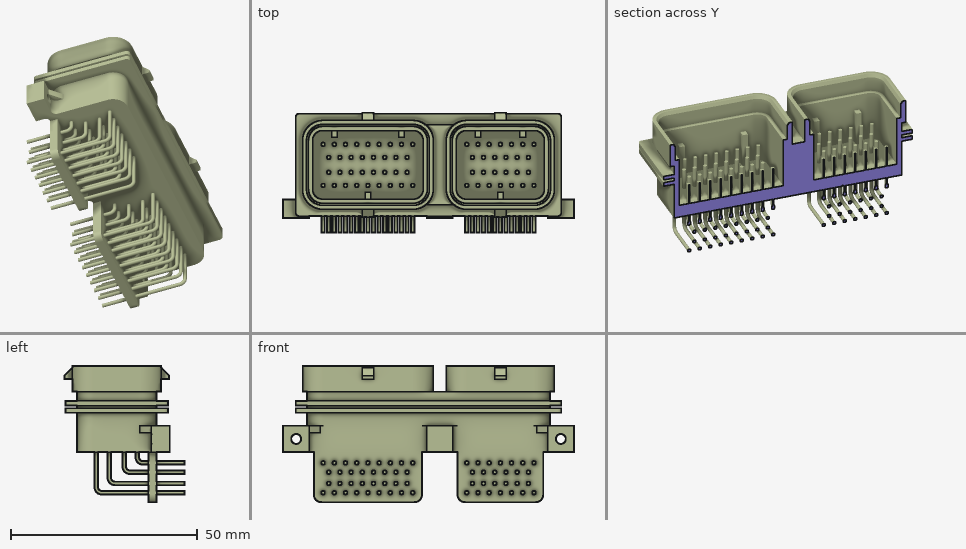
import cadquery as cq

body_length = 65.1
body_width = 21.4
body_corner = 4.2
body_top = 16.2
overall_top = 23.05

shroud_overhang = 1.2
shroud_gap = 3.45
large_shroud_length = 35.05
rim_thickness = 1.05
mouth_chamfer_inset = 0.55
mouth_chamfer_depth = 0.9
wall_thickness = 2.7
ledge_height = 18.0
floor_height = 3.8

flange_length = 71.2
flange_width = 27.5
flange_corner = 1.0
flange_thickness = 1.25
flange_bottoms = (10.5, 12.45)

latch_length = 3.1
latch_reach = 2.1
latch_bottom = 19.5
latch_lip_top = 20.5

key_length = 1.5
key_depth = 1.85
key_top = 13.4

pin_diameter = 1.0
pin_pitch = 3.0
rear_pin_top = 10.55
front_pin_top = 9.6
pin_bend_radius = 1.5
pin_tip_y = -18.15
PIN_ROWS = (
    (5.5, rear_pin_top, -10.9, 0),
    (2.0, front_pin_top, -8.4, 1),
    (-2.0, front_pin_top, -5.4, 1),
    (-5.5, front_pin_top, -2.9, 0),
)

plate_bottom = -13.45
plate_thickness = 2.2
plate_root_depth = 2.0
plate_corner = 2.0

overall_length = 78.0
ear_length = 7.0
ear_height = 7.05
ear_front = -14.25
ear_back = -9.25
ear_hole_diameter = 2.6
ear_hole_x = 35.45
ear_hole_z = 3.5
ear_inner_fillet = 1.15
ear_back_fillet = 1.6
gusset_leg = 3.05
gusset_height = 1.9
lug_length = 7.0
lug_fillet = 1.0

body_front = -body_width / 2
shroud_width = body_width + 2 * shroud_overhang
shroud_corner = body_corner + shroud_overhang
shrouds_span = body_length + 2 * shroud_overhang
small_shroud_length = shrouds_span - shroud_gap - large_shroud_length
large_center = (large_shroud_length - shrouds_span) / 2
small_center = (shrouds_span - small_shroud_length) / 2
wall_below_chamfer = rim_thickness + mouth_chamfer_inset

SOCKETS = (
    (large_center, large_shroud_length, 9, 9.0, 29.0),
    (small_center, small_shroud_length, 7, 6.0, 23.0),
)


def box(x0, x1, y0, y1, z0, z1):
    """Box between two opposite corners."""
    return cq.Workplane("XY").box(x1 - x0, y1 - y0, z1 - z0, centered=False).translate((x0, y0, z0))


def rounded_block(center_x, length, width, corner, z0, z1):
    """Upright block with rounded vertical edges, centered on Y = 0."""
    return box(
        center_x - length / 2, center_x + length / 2, -width / 2, width / 2, z0, z1
    ).edges("|Z").fillet(corner)


def shroud_inset(center_x, length, inset, z0, z1):
    """Block following the shroud outline, moved inward by an inset."""
    return rounded_block(
        center_x, length - 2 * inset, shroud_width - 2 * inset, shroud_corner - inset, z0, z1
    )


def socket_cavity(center_x, length):
    """Stepped cavity with a steep chamfer at the mouth."""
    cavity = shroud_inset(center_x, length, wall_thickness, floor_height, overall_top)
    upper = shroud_inset(center_x, length, wall_below_chamfer, ledge_height, overall_top)
    mouth_bottom = overall_top - mouth_chamfer_depth
    mouth_top = overall_top + mouth_chamfer_depth
    mouth = shroud_inset(center_x, length, rim_thickness, mouth_bottom, mouth_top)
    mouth = mouth.faces("<Z").chamfer(mouth_chamfer_depth, mouth_chamfer_inset)
    return cavity.union(upper).union(mouth)


def latch(center_x):
    """Wedge-shaped nose on the -Y side of a shroud, sloped at 45 degrees."""
    root = -shroud_width / 2
    tip = root - latch_reach
    slope_top = latch_lip_top + latch_reach
    return (
        cq.Workplane("YZ", origin=(center_x - latch_length / 2, 0, 0))
        .polyline([(root, latch_bottom), (tip, latch_bottom), (tip, latch_lip_top), (root, slope_top)])
        .close()
        .extrude(latch_length)
    )


def key_rib(center_x, side):
    """Keying rib against the +Y (side = 1) or -Y (side = -1) cavity wall."""
    wall_y = shroud_width / 2 - wall_thickness
    rib = box(
        center_x - key_length / 2, center_x + key_length / 2, wall_y - key_depth, wall_y,
        floor_height, key_top,
    )
    return rib if side > 0 else rib.mirror("XZ")


def bent_pin(x, y, top, z):
    """Right-angle pin: upright in the socket, then forward through the guide plate."""
    path = (
        cq.Workplane("YZ", origin=(x, 0, 0))
        .moveTo(y, top)
        .lineTo(y, z + pin_bend_radius)
        .radiusArc((y - pin_bend_radius, z), pin_bend_radius)
        .lineTo(pin_tip_y, z)
    )
    profile = cq.Workplane("XY", origin=(x, y, top)).circle(pin_diameter / 2)
    return profile.sweep(path)


def socket_pins(center_x, full_row):
    """All contacts of one socket, with the inner rows staggered by half a pitch."""
    pins = []
    for y, top, z, missing in PIN_ROWS:
        count = full_row - missing
        for i in range(count):
            x = center_x + (i - (count - 1) / 2) * pin_pitch
            pins.append(bent_pin(x, y, top, z).val())
    return pins


def guide_plate(center_x, length):
    """Plate flush with the body front, with its two lower corners rounded."""
    plate = box(
        center_x - length / 2, center_x + length / 2,
        body_front, body_front + plate_thickness, plate_bottom, plate_root_depth,
    )
    return plate.faces("<Z").edges("|Y").fillet(plate_corner)


def concave_fillet(corner_x, corner_y, x_side, y_side, radius):
    """Filler for an inside corner, rounded by an arc of the given radius, up to ear height."""
    far_x = corner_x + x_side * radius
    far_y = corner_y + y_side * radius
    square = box(
        min(corner_x, far_x), max(corner_x, far_x), min(corner_y, far_y), max(corner_y, far_y),
        0, ear_height,
    )
    return square.cut(cq.Workplane("XY").center(far_x, far_y).circle(radius).extrude(ear_height))


def gusset(corner_x, corner_y, x_side, y_side):
    """Triangular gusset in an inside corner, level with the ear top."""
    return (
        cq.Workplane("XY", origin=(corner_x, corner_y, ear_height - gusset_height))
        .polyline([(0, 0), (x_side * gusset_leg, 0), (0, y_side * gusset_leg)])
        .close()
        .extrude(gusset_height)
    )


def left_ear():
    """Mounting ear at the -X end with its squared body corner, fillets and gussets."""
    outer_x = -overall_length / 2
    inner_x = outer_x + ear_length
    body_end = -body_length / 2
    ear = box(outer_x, inner_x, ear_front, ear_back, 0, ear_height)
    ear = ear.union(
        box(body_end, body_end + body_corner, body_front, body_front + body_corner, 0, ear_height)
    )
    ear = ear.union(concave_fillet(inner_x, body_front, 1, -1, ear_inner_fillet))
    ear = ear.union(concave_fillet(body_end, ear_back, -1, 1, ear_back_fillet))
    ear = ear.union(gusset(inner_x, body_front, 1, -1))
    ear = ear.union(gusset(body_end, ear_back, -1, 1))
    hole = (
        cq.Workplane("XZ", origin=(-ear_hole_x, 0, ear_hole_z))
        .circle(ear_hole_diameter / 2)
        .extrude(-ear_front)
    )
    return ear.cut(hole)


def center_lug():
    """Lug between the guide plates, blended into the body front."""
    plate_edges = [(c - p / 2, c + p / 2) for c, *_, p in SOCKETS]
    center_x = (plate_edges[0][1] + plate_edges[1][0]) / 2
    left = center_x - lug_length / 2
    right = center_x + lug_length / 2
    lug = box(left, right, ear_front, body_front, 0, ear_height)
    lug = lug.union(concave_fillet(left, body_front, -1, -1, lug_fillet))
    return lug.union(concave_fillet(right, body_front, 1, -1, lug_fillet))


housing = rounded_block(0, body_length, body_width, body_corner, 0, body_top)
for bottom in flange_bottoms:
    housing = housing.union(
        rounded_block(0, flange_length, flange_width, flange_corner, bottom, bottom + flange_thickness)
    )

ear = left_ear()
housing = housing.union(ear).union(ear.mirror("YZ")).union(center_lug())

contacts = []
for center_x, length, full_row, key_offset, plate_length in SOCKETS:
    housing = housing.union(shroud_inset(center_x, length, 0, body_top, overall_top))
    housing = housing.cut(socket_cavity(center_x, length))
    nose = latch(center_x)
    housing = housing.union(nose).union(nose.mirror("XZ"))
    housing = housing.union(key_rib(center_x - key_offset, 1))
    housing = housing.union(key_rib(center_x + key_offset, 1))
    housing = housing.union(key_rib(center_x, -1))
    housing = housing.union(guide_plate(center_x, plate_length))
    contacts += socket_pins(center_x, full_row)

result = cq.Workplane("XY").newObject([housing.val().fuse(*contacts)])